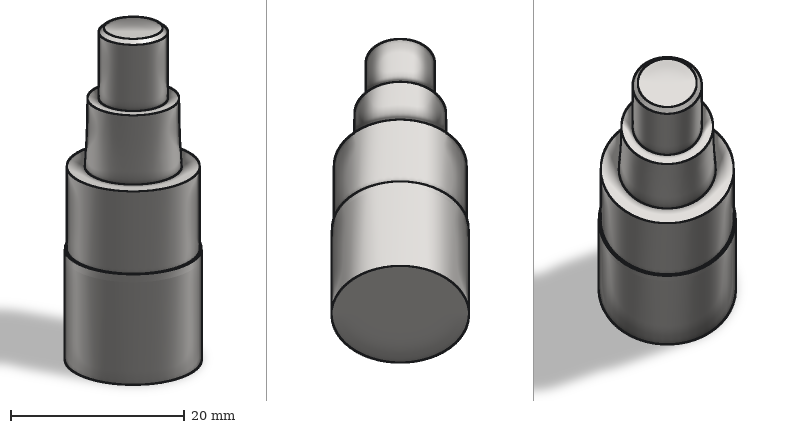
import cadquery as cq

press_diameter = 15.88
press_height = 12.75
lead_in_diameter = 15.80
lead_in_height = 1.0
barrel_diameter = 15.36
barrel_top = 24.0
neck_base_diameter = 11.2
neck_top_diameter = 10.6
neck_top = 32.5
neck_flare_sag = 0.08
pin_diameter = 8.0
pin_tip_diameter = 6.8
pin_tip_height = 0.5
total_height = 41.25

shoulder_z = press_height + lead_in_height
neck_middle_radius = (neck_base_diameter + neck_top_diameter) / 4 - neck_flare_sag
neck_middle_z = (barrel_top + neck_top) / 2


def make_housing():
    """Stepped round housing whose neck flares out towards its base."""
    profile = (
        cq.Workplane("XZ")
        .lineTo(press_diameter / 2, 0)
        .lineTo(press_diameter / 2, press_height)
        .lineTo(lead_in_diameter / 2, shoulder_z)
        .lineTo(barrel_diameter / 2, shoulder_z)
        .lineTo(barrel_diameter / 2, barrel_top)
        .lineTo(neck_base_diameter / 2, barrel_top)
        .threePointArc((neck_middle_radius, neck_middle_z), (neck_top_diameter / 2, neck_top))
        .lineTo(0, neck_top)
        .close()
    )
    return profile.revolve(360, (0, 0, 0), (0, 1, 0))


def make_pin():
    """Straight round pin seated on the flat top of the neck, chamfered at its tip."""
    profile = (
        cq.Workplane("XZ")
        .moveTo(0, neck_top)
        .lineTo(pin_diameter / 2, neck_top)
        .lineTo(pin_diameter / 2, total_height - pin_tip_height)
        .lineTo(pin_tip_diameter / 2, total_height)
        .lineTo(0, total_height)
        .close()
    )
    return profile.revolve(360, (0, 0, 0), (0, 1, 0))


housing = make_housing()
pin = make_pin()
result = cq.Compound.makeCompound([housing.val(), pin.val()])